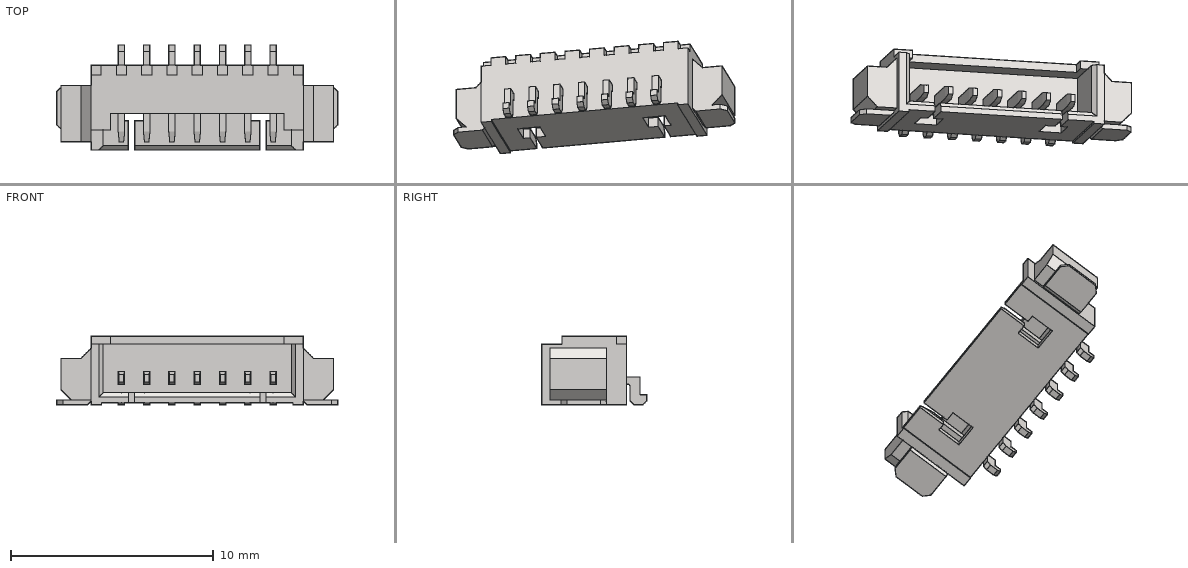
import cadquery as cq


pin_count = 7
pitch = 1.25
pin_width = 0.32
pin_bottom = 1.01
pin_top = 1.64
pin_tip_y = 0.4
tip_length = 0.5
tip_side_taper = 0.05
tip_height_taper = 0.13

tail_reach = 1.0
tail_top = 1.38
tail_leg_front = 0.16
tail_leg_back = 0.67
tail_foot_height = 0.5
tail_foot_chamfer = 0.2
tail_bend_radius = 0.08

housing_length = 10.5
housing_depth = 4.2
wall_top = 3.0
side_wall = 0.6
back_wall = 1.2
floor_top = 0.6
mouth_chamfer = 0.22
standoff = 0.1
standoff_width = 0.52

overall_height = 3.4
cover_depth = 3.2
cover_opening_side = 0.96
cover_opening_depth = 0.8
notch_size = 0.5

slot_width = 0.3
slot_center = 3.25
window_front = 1.45
window_back = 2.7
window_width = 1.13

wing_reach = 1.5
wing_length = 2.8
wing_front = 0.4
wing_bottom = 0.25
wing_top = 2.3
wing_slope = 0.5
tab_reach = 1.7
tab_length = 2.25
tab_corner = 0.3
tab_thickness = 0.25
tab_bend = 0.17

half_length = housing_length / 2
pin_positions = [(i - (pin_count - 1) / 2) * pitch for i in range(pin_count)]


def block(x_range, y_range, z_range):
    """Rectangular block spanning three coordinate ranges."""
    (x0, x1), (y0, y1), (z0, z1) = x_range, y_range, z_range
    return cq.Workplane("XY").box(x1 - x0, y1 - y0, z1 - z0, centered=False).translate((x0, y0, z0))


def symmetric_block(half_width, y_range, z_range):
    """Block centred on X = 0."""
    return block((-half_width, half_width), y_range, z_range)


def mirrored(shape):
    """The shape together with its mirror image across X = 0."""
    return shape.union(shape.mirror("YZ"))


def make_cavity():
    """Mating cavity under the cover, flared along its sides and floor at the mouth."""
    half_width = half_length - side_wall
    cavity_back = housing_depth - back_wall
    cavity = symmetric_block(half_width, (0, cavity_back), (floor_top, wall_top))
    rim_width = 2 * (half_width + mouth_chamfer)
    rim_bottom = floor_top - mouth_chamfer
    rim_height = wall_top - rim_bottom
    throat_height = wall_top - floor_top
    flare = (
        cq.Workplane("XZ")
        .center(0, rim_bottom + rim_height / 2)
        .rect(rim_width, rim_height)
        .workplane(offset=-mouth_chamfer)
        .center(0, mouth_chamfer / 2)
        .rect(2 * half_width, throat_height)
        .loft(ruled=True)
    )
    return cavity.union(flare)


def make_cover():
    """Top plate with a front opening, corner notches and one notch behind every contact."""
    z_range = (wall_top, overall_height)
    cover_front = housing_depth - cover_depth
    cover = symmetric_block(half_length, (cover_front, housing_depth), z_range)
    opening_back = cover_front + cover_opening_depth
    cover = cover.cut(symmetric_block(half_length - cover_opening_side, (cover_front, opening_back), z_range))
    notch_y = (housing_depth - notch_size, housing_depth)
    for x in pin_positions:
        cover = cover.cut(block((x - notch_size / 2, x + notch_size / 2), notch_y, z_range))
    corner = block((half_length - notch_size, half_length), notch_y, z_range)
    return cover.cut(mirrored(corner))


def make_floor_openings():
    """Front slots, each running back into a wider window that ends under the outermost contact."""
    z_range = (0, floor_top)
    slot_x = (slot_center - slot_width / 2, slot_center + slot_width / 2)
    window_x = (pin_positions[-1] - window_width, pin_positions[-1])
    slot = block(slot_x, (0, window_front), z_range)
    window = block(window_x, (window_front, window_back), z_range)
    return mirrored(slot.union(window))


def make_housing():
    """Shroud standing on a foot along each end."""
    body = symmetric_block(half_length, (0, housing_depth), (0, wall_top))
    body = body.cut(make_cavity())
    body = body.cut(symmetric_block(half_length - standoff_width, (0, housing_depth), (0, standoff)))
    return body.cut(make_floor_openings()).union(make_cover())


def make_wing():
    """Block on the +X end: sloped shoulder above, chamfered outer edge below."""
    outer = half_length + wing_reach
    wing_back = wing_front + wing_length
    profile = [
        (half_length, wing_bottom),
        (outer - wing_slope, wing_bottom),
        (outer, wing_bottom + wing_slope),
        (outer, wing_top),
        (half_length + wing_slope, wing_top),
        (half_length, wing_top + wing_slope),
    ]
    return cq.Workplane("XZ", origin=(0, wing_back, 0)).polyline(profile).close().extrude(wing_length)


def make_tab():
    """Solder tab under the +X wing, with clipped outer corners and a bevelled inner lower edge."""
    tab_back = wing_front + wing_length
    x_range = (half_length, half_length + tab_reach)
    tab = block(x_range, (tab_back - tab_length, tab_back), (0, tab_thickness))
    tab = tab.edges("|Z and >X").chamfer(tab_corner)
    return tab.edges("<X and <Z").chamfer(tab_bend)


def make_blade():
    """Tapered contact blade at X = 0, standing forward from the back wall."""
    taper_end = pin_tip_y + tip_length
    pin_height = pin_top - pin_bottom
    blade = symmetric_block(pin_width / 2, (taper_end, housing_depth - back_wall), (pin_bottom, pin_top))
    tip = (
        cq.Workplane("XZ", origin=(0, taper_end, (pin_bottom + pin_top) / 2))
        .rect(pin_width, pin_height)
        .workplane(offset=tip_length)
        .rect(pin_width - 2 * tip_side_taper, pin_height - 2 * tip_height_taper)
        .loft(ruled=True)
    )
    return blade.union(tip)


def make_tail():
    """Solder tail at X = 0, stepping down behind the housing to a foot on the board."""
    leg_front = housing_depth + tail_leg_front
    leg_back = housing_depth + tail_leg_back
    tail_end = housing_depth + tail_reach
    return (
        cq.Workplane("YZ", origin=(-pin_width / 2, 0, 0))
        .moveTo(housing_depth, tail_top)
        .lineTo(leg_back, tail_top)
        .lineTo(leg_back, tail_foot_height)
        .lineTo(tail_end, tail_foot_height)
        .lineTo(tail_end, tail_foot_chamfer)
        .lineTo(tail_end - tail_foot_chamfer, 0)
        .lineTo(leg_front + tail_foot_chamfer, 0)
        .lineTo(leg_front, tail_foot_chamfer)
        .lineTo(leg_front, pin_bottom - tail_bend_radius)
        .radiusArc((leg_front - tail_bend_radius, pin_bottom), -tail_bend_radius)
        .lineTo(housing_depth, pin_bottom)
        .close()
        .extrude(pin_width)
    )


result = make_housing().union(mirrored(make_wing().union(make_tab())))
for pin_x in pin_positions:
    for contact_part in (make_blade(), make_tail()):
        result = result.union(contact_part.translate((pin_x, 0, 0)))